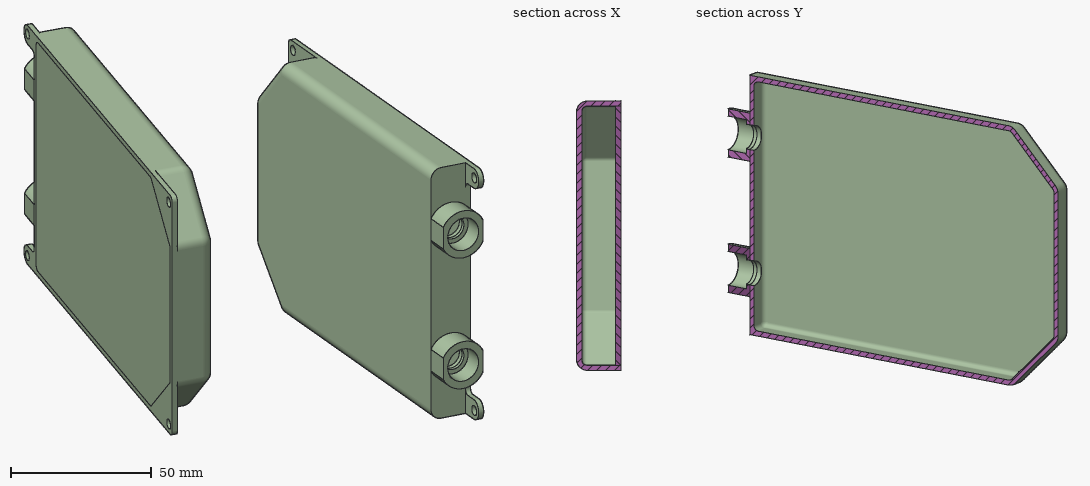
import cadquery as cq
LENGTH = 145.0
DEPTH = 16.0
HEIGHT = 96.0

WALL = 2.0
FLANGE_THICKNESS = 2.0
CASE_START = 10.0
CORNER_CUT = 20.0
CASE_FILLET = 4.0
CAVITY_FILLET = 1.7
FLANGE_CORNER_RADIUS = 2.0

EAR_WIDTH = 7.5
EAR_RADIUS = EAR_WIDTH / 2
EAR_ROOT_FILLET = 1.7
SCREW_HOLE_DIAMETER = 3.6
SCREW_INSET = 3.5

CONNECTOR_START = 0.6
CONNECTOR_DIAMETER = 18.0
CONNECTOR_BORE = 12.3
CONNECTOR_BORE_DEPTH = 8.0
CONNECTOR_SPACING = 50.0
CABLE_HOLE_DIAMETER = 9.0

NEARLY_FULL = 0.999
NEARLY_EQUAL = 0.99

CONNECTOR_HEIGHTS = (-CONNECTOR_SPACING / 2, CONNECTOR_SPACING / 2)
HALF_HEIGHT = HEIGHT / 2


def prism(thickness, points):
    """Extrude an XZ outline from the front face toward +Y."""
    return cq.Workplane("XZ").polyline(points).close().extrude(-thickness)


def case_outline(inset):
    """Rectangle with its two +X corners cut off at 45 degrees, moved inward by the inset."""
    left = CASE_START + inset
    right = LENGTH - inset
    top = HALF_HEIGHT - inset
    cut = CORNER_CUT - inset * (2 - 2**0.5)
    return [
        (left, -top),
        (right - cut, -top),
        (right, -top + cut),
        (right, top - cut),
        (right - cut, top),
        (left, top),
    ]


def along_x(start, length, diameter, height):
    """Cylinder parallel to X, centred in the depth of the housing."""
    plane = cq.Workplane("YZ", origin=(start, DEPTH / 2, height))
    return plane.circle(diameter / 2).extrude(length)


def make_flange():
    """Thin front plate with an ear at each -X corner and a screw hole at every corner."""
    plate = (
        cq.Workplane("XZ")
        .rect(LENGTH, HEIGHT)
        .extrude(-FLANGE_THICKNESS)
        .translate((LENGTH / 2, 0, 0))
    )
    notch = cq.Workplane("XY").box(
        CASE_START, FLANGE_THICKNESS, HEIGHT - 2 * EAR_WIDTH, centered=(False, False, True)
    )
    plate = plate.cut(notch)
    plate = plate.edges("|Y").edges(">X").fillet(FLANGE_CORNER_RADIUS)
    roots = cq.selectors.BoxSelector(
        (CASE_START - WALL, -DEPTH, -HALF_HEIGHT), (CASE_START + WALL, DEPTH, HALF_HEIGHT)
    )
    plate = plate.edges("|Y").edges(roots).fillet(EAR_ROOT_FILLET)
    plate = plate.edges("|Y").edges("<X").fillet(EAR_RADIUS * NEARLY_FULL)
    holes = (
        cq.Workplane("XZ")
        .center(LENGTH / 2, 0)
        .rect(LENGTH - 2 * SCREW_INSET, HEIGHT - 2 * SCREW_INSET, forConstruction=True)
        .vertices()
        .circle(SCREW_HOLE_DIAMETER / 2)
        .extrude(-FLANGE_THICKNESS)
    )
    return plate.cut(holes)


def make_case():
    """Outer block, rounded along its back edges except at the flat -X end."""
    case = prism(DEPTH, case_outline(0))
    case = case.edges("|Y").edges("not <X").fillet(CASE_FILLET)
    return case.faces(">Y").edges("not <X").fillet(CASE_FILLET)


def make_cavity():
    """Hollow of the housing, open at the front, where the cover fills its mouth."""
    cavity = prism(DEPTH - WALL, case_outline(WALL))
    cavity = cavity.edges("|Y").fillet(CAVITY_FILLET)
    return cavity.faces(">Y").edges().fillet(CAVITY_FILLET * NEARLY_EQUAL)


def make_housing():
    """Hollow case with its flange and a cable hole behind each connector."""
    housing = make_case().union(make_flange()).cut(make_cavity())
    for height in CONNECTOR_HEIGHTS:
        housing = housing.cut(along_x(CASE_START, WALL, CABLE_HOLE_DIAMETER, height))
    return housing


def make_cover():
    """Flat plate set flush into the mouth of the cavity."""
    cover = prism(FLANGE_THICKNESS, case_outline(WALL))
    return cover.edges("|Y").fillet(CAVITY_FILLET)


def make_connector(height):
    """Round boss with a stepped bore, flattened front and back to the depth of the housing."""
    length = CASE_START - CONNECTOR_START
    boss = along_x(CONNECTOR_START, length, CONNECTOR_DIAMETER, height)
    slab = cq.Workplane("XY").box(LENGTH, DEPTH, 2 * HEIGHT, centered=(False, False, True))
    bore = along_x(CONNECTOR_START, CONNECTOR_BORE_DEPTH, CONNECTOR_BORE, height)
    cable_hole = along_x(CONNECTOR_START, length, CABLE_HOLE_DIAMETER, height)
    return boss.intersect(slab).cut(bore).cut(cable_hole)


housing = make_housing()
cover = make_cover()
connectors = [make_connector(height) for height in CONNECTOR_HEIGHTS]

result = cq.Compound.makeCompound(
    [housing.val(), cover.val(), *[connector.val() for connector in connectors]]
)